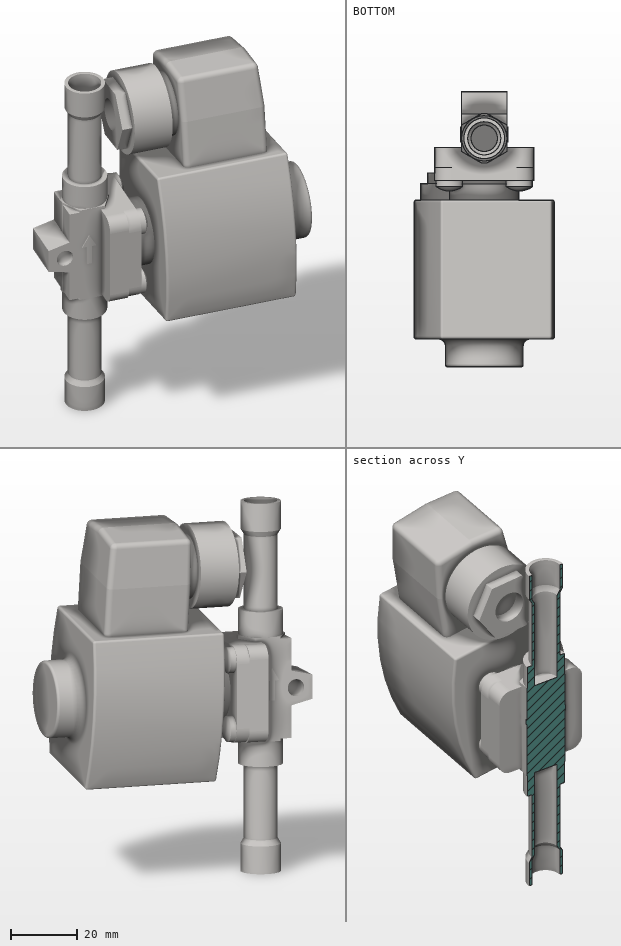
import cadquery as cq
import math


overall_length = 114
bell_dia = 12.3
bell_length = 8.5
bell_bore_dia = 10.0
bell_bore_depth = 9.1
flare_length = 1.7
tube_dia = 10.3
tube_bore_dia = 8
collar_dia = 13.7
collar_length = 7.8

hex_sides = 6
hex_half_length = 16.1
body_width = 13.8
body_front = -7.4
hex_tip = 7.5
body_half_height = 15.4
flange_size = 30.0
flange_front = 2.7
cover_front = 8.8
cover_back = 12.8
flange_corner = 4.0
cover_corner = 5.0

lug_tip = -14.1
lug_root_half = 5.4
lug_tip_half = 3.8
lug_hole_dia = 5.2
lug_hole_y = -8.9

arrow_height = 0.3
arrow_y = -1.1
arrow_bottom = -3.4
arrow_neck = 2.7
arrow_tip = 6.6
arrow_shaft_half = 0.9
arrow_head_half = 2.3

screw_dia = 8
screw_offset = 10.6
screw_rim_height = 1.8
screw_head_height = 3.2

coil_tilt = 9
coil_front = 18.7
coil_back = 60.8
coil_half_width = 16.9
coil_half_height = 23.8
coil_bulge = 3.8
coil_fillet = 0.8

stem_dia = 21.0
seat_dia = 18.0
seat_length = 1.0
stem_front = cover_back + seat_length

cap_dia = 23.6
cap_back = 69.2
cap_edge_fillet = 0.8
cap_root_fillet = 2.0

plug_front = 28.8
plug_back = 55.7
plug_half_width = 13.6
plug_break_height = 39.0
plug_shoulder_half = 12.2
plug_shoulder_height = 52.8
plug_ridge_height = 53.9
plug_ridge_x = 0.7
plug_back_lean = 1.0
plug_fillet = 1.7

gland_height = 40.0
gland_neck_dia = 20.0
gland_nut_dia = 26.0
gland_nut_back = 25.9
gland_nut_front = 13.7
gland_hex_front = 10.5
gland_hex_radius = 11.0
gland_hex_turn = -4
gland_hole_dia = 10.0
gland_hole_depth = 4.0


def plane_at(y):
    """XZ plane at the given Y, with its normal along -Y and local x along +X."""
    return cq.Workplane(cq.Plane(origin=(0, y, 0), xDir=(1, 0, 0), normal=(0, -1, 0)))


def disc_y(dia, y_from, y_to, x=0, z=0):
    """Cylinder along Y between two Y positions."""
    return plane_at(y_to).center(x, z).circle(dia / 2).extrude(y_to - y_from)


def tilt(shape):
    """Turn a shape from the frame of the coil into the frame of the valve."""
    return shape.rotate((0, 0, 0), (0, 1, 0), -coil_tilt)


def upper_tube():
    end = overall_length / 2
    flare_top = end - bell_length
    collar_top = hex_half_length + collar_length
    profile = [
        (0, 0),
        (collar_dia / 2, 0),
        (collar_dia / 2, collar_top),
        (tube_dia / 2, collar_top),
        (tube_dia / 2, flare_top - flare_length),
        (bell_dia / 2, flare_top),
        (bell_dia / 2, end),
        (bell_bore_dia / 2, end),
        (bell_bore_dia / 2, end - bell_bore_depth),
        (tube_bore_dia / 2, end - bell_bore_depth - flare_length),
        (tube_bore_dia / 2, hex_half_length),
        (0, hex_half_length),
    ]
    return cq.Workplane("XZ").polyline(profile).close().revolve(360, (0, 0), (0, 1))


def valve_body():
    corner_dia = body_width / math.cos(math.pi / hex_sides)
    hex_bar = (
        cq.Workplane("XY", origin=(0, 0, -hex_half_length))
        .polygon(hex_sides, corner_dia)
        .extrude(2 * hex_half_length)
        .rotate((0, 0, 0), (0, 0, 1), 180 / hex_sides)
    )
    hex_bar = hex_bar.intersect(
        cq.Workplane("XY").box(body_width, 2 * hex_tip, 2 * hex_half_length)
    )
    block_depth = flange_front - body_front
    block = cq.Workplane("XY").box(body_width, block_depth, 2 * body_half_height)
    block = block.translate((0, body_front + block_depth / 2, 0))
    return hex_bar.union(block)


def rounded_plate(y_from, y_to, corner):
    thickness = y_to - y_from
    plate = cq.Workplane("XY").box(flange_size, thickness, flange_size).edges("|Y").fillet(corner)
    return plate.translate((0, y_from + thickness / 2, 0))


def mounting_lug():
    outline = [
        (body_front, lug_root_half),
        (lug_tip, lug_tip_half),
        (lug_tip, -lug_tip_half),
        (body_front, -lug_root_half),
        (flange_front, -lug_root_half),
        (flange_front, lug_root_half),
    ]
    return cq.Workplane("YZ").polyline(outline).close().extrude(body_width / 2, both=True)


def lug_hole():
    hole = cq.Workplane("YZ").center(lug_hole_y, 0).circle(lug_hole_dia / 2)
    return hole.extrude(body_width, both=True)


def flow_arrow():
    """Arrow raised on both sides of the body."""
    half = [
        (arrow_shaft_half, arrow_bottom),
        (arrow_shaft_half, arrow_neck),
        (arrow_head_half, arrow_neck),
    ]
    outline = half + [(0, arrow_tip)] + [(-y, z) for y, z in reversed(half)]
    arrow = cq.Workplane("YZ").center(arrow_y, 0).polyline(outline).close()
    return arrow.extrude(body_width / 2 + arrow_height, both=True)


def cover_screws():
    radius = screw_dia / 2
    dome_height = screw_head_height - screw_rim_height
    dome_radius = (radius**2 + dome_height**2) / (2 * dome_height)
    mid_height = screw_head_height - dome_radius + math.sqrt(dome_radius**2 - (radius / 2) ** 2)
    head = (
        cq.Workplane("XY")
        .moveTo(0, 0)
        .lineTo(radius, 0)
        .lineTo(radius, screw_rim_height)
        .threePointArc((radius / 2, mid_height), (0, screw_head_height))
        .close()
        .revolve(360, (0, 0), (0, 1))
    )
    screws = cq.Workplane("XY")
    for x in (-screw_offset, screw_offset):
        for z in (-screw_offset, screw_offset):
            screws = screws.add(head.translate((x, cover_back, z)))
    return screws.combine()


def coil():
    w = coil_half_width
    h = coil_half_height
    bulge = w + coil_bulge
    body = (
        plane_at(coil_back)
        .moveTo(-w, h)
        .lineTo(w, h)
        .threePointArc((bulge, 0), (w, -h))
        .lineTo(-w, -h)
        .threePointArc((-bulge, 0), (-w, h))
        .close()
        .extrude(coil_back - coil_front)
        .edges()
        .fillet(coil_fillet)
    )
    return tilt(body)


def end_cap():
    """Round cap behind the coil, with a concave fillet at its root."""
    radius = cap_dia / 2
    root_y = coil_back + cap_root_fillet
    root_mid = cap_root_fillet * (1 - math.sqrt(0.5))
    cap = (
        cq.Workplane("XY")
        .moveTo(0, coil_front)
        .lineTo(radius, coil_front)
        .lineTo(radius + cap_root_fillet, coil_back)
        .threePointArc((radius + root_mid, coil_back + root_mid), (radius, root_y))
        .lineTo(radius, cap_back)
        .lineTo(0, cap_back)
        .close()
        .revolve(360, (0, 0), (0, 1))
    )
    return cap.faces(">Y").edges().fillet(cap_edge_fillet)


def plug():
    """Rounded straight base, bounded above the break line by a rounded tapering hood."""
    depth = plug_back - plug_front
    base = (
        plane_at(plug_back)
        .center(0, plug_ridge_height / 2)
        .rect(2 * plug_half_width, plug_ridge_height)
        .extrude(depth)
        .edges("|Z")
        .fillet(plug_fillet)
    )
    taper_height = plug_shoulder_height - plug_break_height
    side_slope = (plug_half_width - plug_shoulder_half) / taper_height
    back_slope = plug_back_lean / taper_height
    foot_half = plug_half_width + side_slope * plug_break_height
    foot_back = plug_back + back_slope * plug_break_height
    ridge_back = foot_back - back_slope * plug_ridge_height
    end_outline = [
        (-foot_half, 0),
        (foot_half, 0),
        (plug_shoulder_half, plug_shoulder_height),
        (plug_ridge_x, plug_ridge_height),
        (-plug_shoulder_half, plug_shoulder_height),
    ]
    side_outline = [
        (plug_front, 0),
        (foot_back, 0),
        (ridge_back, plug_ridge_height),
        (plug_front, plug_ridge_height),
    ]
    hood = plane_at(foot_back).polyline(end_outline).close().extrude(foot_back - plug_front)
    hood = hood.intersect(
        cq.Workplane("YZ").polyline(side_outline).close().extrude(foot_half, both=True)
    )
    ridge_middle = (plug_ridge_x, (plug_front + ridge_back) / 2, plug_ridge_height)
    ridge = cq.selectors.NearestToPointSelector(ridge_middle)
    rim = hood.edges("not <Z").edges(cq.selectors.InverseSelector(ridge))
    return tilt(base.intersect(rim.fillet(plug_fillet)))


def cable_gland():
    neck = disc_y(gland_neck_dia, gland_nut_front, plug_front + plug_fillet, 0, gland_height)
    nut = disc_y(gland_nut_dia, gland_nut_front, gland_nut_back, 0, gland_height)
    hex_head = (
        plane_at(gland_nut_front)
        .center(0, gland_height)
        .transformed(rotate=(0, 0, gland_hex_turn))
        .polygon(hex_sides, 2 * gland_hex_radius)
        .extrude(gland_nut_front - gland_hex_front)
    )
    hole = disc_y(gland_hole_dia, gland_hex_front, gland_hex_front + gland_hole_depth, 0, gland_height)
    return tilt(neck.union(nut).union(hex_head).cut(hole))


tube = upper_tube()
result = (
    valve_body()
    .union(tube)
    .union(tube.mirror("XY"))
    .union(rounded_plate(flange_front, cover_front, flange_corner))
    .union(rounded_plate(cover_front, cover_back, cover_corner))
    .union(mounting_lug())
    .union(flow_arrow())
    .cut(lug_hole())
    .union(cover_screws())
    .union(disc_y(seat_dia, cover_back, stem_front))
    .union(disc_y(stem_dia, stem_front, coil_front))
    .union(coil())
    .union(end_cap())
    .union(plug())
    .union(cable_gland())
)